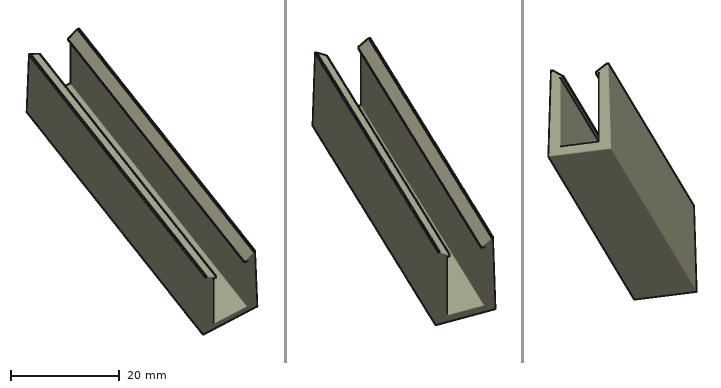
import cadquery as cq

length = 60.0
base_width = 12.0
height = 17.8

top_width = 11.0
slot_width = 7.2
floor_thickness = 1.9
rim_width = 0.35

mouth_width = 6.1
lip_top = 16.3
lip_nose = 0.3
lip_underside_drop = 0.1

edge_radius = 0.2
end_radius = 0.21

lip_bottom = lip_top - lip_nose
lip_root = lip_bottom - lip_underside_drop

half_section = [
    (0, 0),
    (base_width / 2, 0),
    (top_width / 2, height),
    (top_width / 2 - rim_width, height),
    (mouth_width / 2, lip_top),
    (mouth_width / 2, lip_bottom),
    (slot_width / 2, lip_root),
    (slot_width / 2, floor_thickness),
    (0, floor_thickness),
]

mirrored_half = [(-y, z) for y, z in reversed(half_section[1:-1])]

result = (
    cq.Workplane("YZ")
    .polyline(half_section + mirrored_half)
    .close()
    .extrude(length / 2, both=True)
)

result = result.edges("|X and <Z").fillet(edge_radius)
floor_corners = cq.selectors.BoxSelector(
    (-length, -slot_width, floor_thickness / 2),
    (length, slot_width, 2 * floor_thickness),
)
result = result.edges("|X").edges(floor_corners).fillet(edge_radius)

result = result.faces("<X or >X").edges().fillet(end_radius)